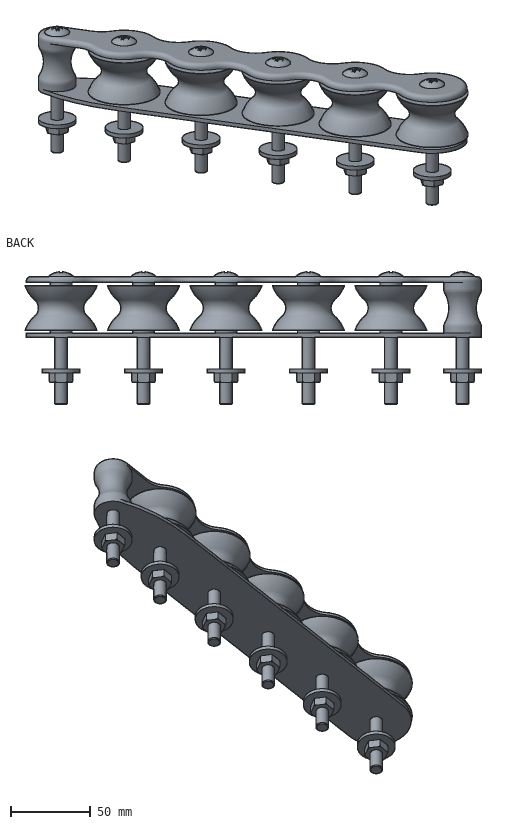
import cadquery as cq
import math

overall_length = 287.7
roller_count = 5
roller_radius = 22.7
post_radius = 24.0 / 2
post_to_roller = 45.2

last_roller_x = overall_length - post_radius - roller_radius
roller_pitch = (last_roller_x - post_to_roller) / (roller_count - 1)
roller_positions = [post_to_roller + i * roller_pitch for i in range(roller_count)]

plate_radius = 44.0 / 2
base_bottom_z = 42.3
base_thickness = 2.5
cover_bottom_z = 76.8
cover_thickness = 3.7
cover_fillet = 3.0
cover_top_z = cover_bottom_z + cover_thickness

roller_height = 28.5
roller_neck_radius = 14.5
roller_blend_radius = 16.0
roller_blend_height = 4.5
flare_mid_radius = 20.0
flare_mid_height = 9.0
roller_mid_z = 60.7
roller_rim_height = 0.3
hub_radius = 13.8 / 2

post_waist_radius = 17.5 / 2
post_blend_radius = 11.2
post_blend_height = 9.2
post_land_height = 11.8

screw_radius = 8.0 / 2
screw_tip_chamfer = 0.5
head_rim_radius = 15.8 / 2
head_rim_height = 1.0
dome_radius = 14.0 / 2
dome_height = 2.3
recess_length = 7.0
recess_width = 2.0
recess_depth = 2.5
recess_taper_angle = 10
post_recess_angle = 28
washer_radius = 24.0 / 2
washer_thickness = 2.5
nut_bottom_z = 13.8
nut_height = 6.0
nut_across_corners = 15.0
nut_chamfer_radius = 14.0 / 2
nut_chamfer_height = 1.0


def cylinder(radius, bottom_z, height):
    return cq.Workplane("XY").workplane(offset=bottom_z).circle(radius).extrude(height)


def revolve_about_z(profile):
    return profile.close().revolve(360, (0, 0, 0), (0, 1, 0))


def make_base_plate():
    """Straight-sided strip whose nose narrows on large arcs tangent to the post circle."""
    side_radius = (post_to_roller**2 + plate_radius**2 - post_radius**2) / (2 * (plate_radius - post_radius))
    side_center_y = plate_radius - side_radius
    center_gap = math.hypot(post_to_roller, side_center_y)
    tangent_x = -post_radius * post_to_roller / center_gap
    tangent_y = -post_radius * side_center_y / center_gap
    nose_angle = math.atan2(tangent_y, tangent_x)
    nose_mid_angle = (math.pi + nose_angle) / 2
    side_mid_angle = (math.pi / 2 + nose_angle) / 2
    return (
        cq.Workplane("XY")
        .workplane(offset=base_bottom_z)
        .moveTo(-post_radius, 0)
        .threePointArc(
            (post_radius * math.cos(nose_mid_angle), post_radius * math.sin(nose_mid_angle)),
            (tangent_x, tangent_y),
        )
        .threePointArc(
            (
                post_to_roller + side_radius * math.cos(side_mid_angle),
                side_center_y + side_radius * math.sin(side_mid_angle),
            ),
            (post_to_roller, plate_radius),
        )
        .lineTo(last_roller_x, plate_radius)
        .tangentArcPoint((last_roller_x + plate_radius, 0), relative=False)
        .mirrorX()
        .extrude(base_thickness)
    )


def make_cover_plate():
    """Wavy plate: a lobe over each roller, joined by tangent waists as wide as the post."""
    half_pitch = roller_pitch / 2
    waist_radius = (half_pitch**2 + post_radius**2 - plate_radius**2) / (2 * (plate_radius - post_radius))
    lobe_share = plate_radius / (plate_radius + waist_radius)
    tangent_dx = half_pitch * lobe_share
    tangent_y = (post_radius + waist_radius) * lobe_share

    outline = (
        cq.Workplane("XY")
        .workplane(offset=cover_bottom_z)
        .moveTo(0, -post_radius)
        .threePointArc((-post_radius, 0), (0, post_radius))
        .lineTo(post_to_roller - half_pitch, post_radius)
        .tangentArcPoint((post_to_roller - tangent_dx, tangent_y), relative=False)
    )
    for x in roller_positions[:-1]:
        outline = (
            outline.threePointArc((x, plate_radius), (x + tangent_dx, tangent_y))
            .threePointArc((x + half_pitch, post_radius), (x + roller_pitch - tangent_dx, tangent_y))
        )
    outline = outline.threePointArc(
        (last_roller_x + plate_radius, 0),
        (last_roller_x - tangent_dx, -tangent_y),
    )
    for x in reversed(roller_positions[:-1]):
        outline = (
            outline.threePointArc((x + half_pitch, -post_radius), (x + tangent_dx, -tangent_y))
            .threePointArc((x, -plate_radius), (x - tangent_dx, -tangent_y))
        )
    outline = outline.tangentArcPoint((post_to_roller - half_pitch, -post_radius), relative=False)
    plate = outline.close().extrude(cover_thickness, clean=False)
    rounded = plate.val().fillet(cover_fillet, plate.faces(">Z").edges().vals())
    return cq.Workplane(rounded)


def make_roller():
    """Roller with a concave neck flowing into flared flanges, plus its hub between the plates."""
    half_height = roller_height / 2
    flare_end_height = half_height - roller_rim_height
    profile = (
        cq.Workplane("XZ", origin=(0, 0, roller_mid_z))
        .moveTo(roller_radius, -half_height)
        .lineTo(roller_radius, -flare_end_height)
        .threePointArc((flare_mid_radius, -flare_mid_height), (roller_blend_radius, -roller_blend_height))
        .threePointArc((roller_neck_radius, 0), (roller_blend_radius, roller_blend_height))
        .threePointArc((flare_mid_radius, flare_mid_height), (roller_radius, flare_end_height))
        .lineTo(roller_radius, half_height)
        .lineTo(0, half_height)
        .lineTo(0, -half_height)
    )
    roller = revolve_about_z(profile)
    return roller.union(cylinder(hub_radius, base_bottom_z, cover_top_z - base_bottom_z))


def make_post():
    """End post with a concave waist blended into straight lands at both ends."""
    profile = (
        cq.Workplane("XZ")
        .moveTo(0, base_bottom_z)
        .lineTo(post_radius, base_bottom_z)
        .lineTo(post_radius, roller_mid_z - post_land_height)
        .tangentArcPoint((post_blend_radius, roller_mid_z - post_blend_height), relative=False)
        .threePointArc(
            (post_waist_radius, roller_mid_z),
            (post_blend_radius, roller_mid_z + post_blend_height),
        )
        .tangentArcPoint((post_radius, roller_mid_z + post_land_height), relative=False)
        .lineTo(post_radius, cover_bottom_z)
        .lineTo(0, cover_bottom_z)
    )
    return revolve_about_z(profile)


def make_nut():
    """Hexagon nut whose lower corners are trimmed by a cone."""
    nut = (
        cq.Workplane("XY")
        .workplane(offset=nut_bottom_z)
        .polygon(6, nut_across_corners)
        .extrude(nut_height)
    )
    trim = (
        cylinder(nut_across_corners / 2, nut_bottom_z, nut_height)
        .faces("<Z")
        .chamfer(nut_chamfer_height, nut_across_corners / 2 - nut_chamfer_radius)
    )
    return nut.intersect(trim)


def make_fastener():
    """Domed screw with its washer and nut."""
    rim_top_z = cover_top_z + head_rim_height
    dome_sphere_radius = (dome_radius**2 + dome_height**2) / (2 * dome_height)
    dome_mid_angle = math.asin(dome_radius / dome_sphere_radius) / 2
    dome_center_z = rim_top_z + dome_height - dome_sphere_radius
    head = (
        cq.Workplane("XZ")
        .moveTo(0, cover_top_z)
        .lineTo(head_rim_radius, cover_top_z)
        .lineTo(dome_radius, rim_top_z)
        .threePointArc(
            (
                dome_sphere_radius * math.sin(dome_mid_angle),
                dome_center_z + dome_sphere_radius * math.cos(dome_mid_angle),
            ),
            (0, rim_top_z + dome_height),
        )
    )
    shank = cylinder(screw_radius, 0, cover_top_z).faces("<Z").chamfer(screw_tip_chamfer)
    washer = cylinder(washer_radius, nut_bottom_z + nut_height, washer_thickness)
    return shank.union(revolve_about_z(head)).union(washer).union(make_nut())


def make_cross_recess():
    head_top_z = cover_top_z + head_rim_height + dome_height
    top_plane = cq.Workplane("XY").workplane(offset=head_top_z)
    arm = top_plane.rect(recess_length, recess_width).extrude(-recess_depth, taper=recess_taper_angle)
    return arm.union(arm.rotate((0, 0, 0), (0, 0, 1), 90))


result = make_base_plate().union(make_post()).union(make_cover_plate(), clean=False)

roller = make_roller()
for x in roller_positions:
    result = result.union(roller.translate((x, 0, 0)), clean=False)

fastener = make_fastener()
for x in [0] + roller_positions:
    result = result.union(fastener.translate((x, 0, 0)), clean=False)

cross_recess = make_cross_recess()
result = result.cut(cross_recess.rotate((0, 0, 0), (0, 0, 1), post_recess_angle), clean=False)
for x in roller_positions:
    result = result.cut(cross_recess.translate((x, 0, 0)), clean=False)